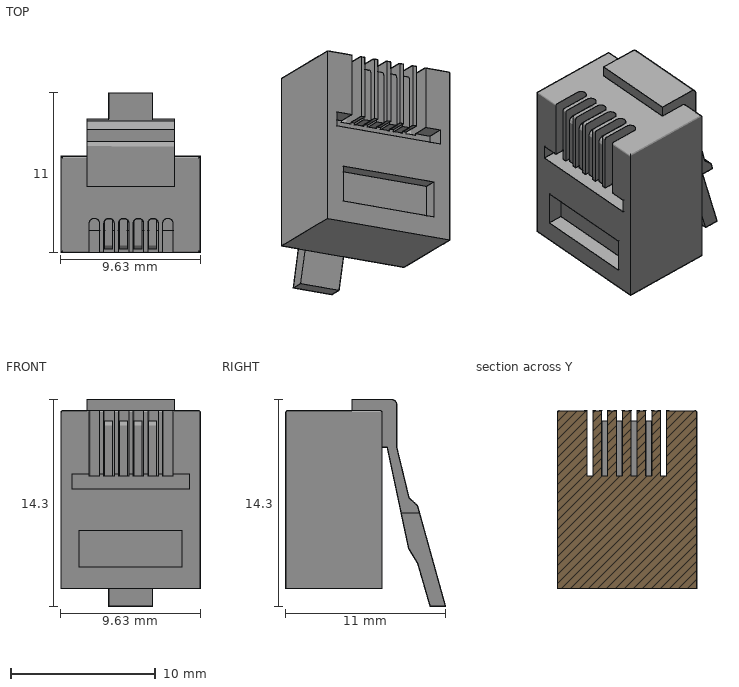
import cadquery as cq


body_width = 9.63
body_depth = 6.66
body_height = 12.29
top_edge_radius = 0.15

slot_count = 6
slot_pitch = 1.01
slot_width = 0.73
slot_length = 2.37
slot_height = 4.5
slot_row_offset = 0.03

blade_count = slot_count - 2
blade_width = 0.56
blade_setback = 0.27
blade_length = 2.05
blade_drop = 0.7
blade_nose_radius = 0.39

groove_width = 8.12
groove_height = 1.01
groove_depth = 1.51
groove_floor = 6.89
pocket_width = 7.1
pocket_height = 2.55
pocket_depth = 1.07
pocket_floor = 1.49

latch_width = 6.06
tail_width = latch_width / 2
latch_front = 4.57
latch_height = 14.29
latch_top = 13.08
latch_bottom = latch_top - latch_height
latch_back = 7.67
latch_corner_radius = 0.4
hinge_height = 9.75
hinge_front = 7.0
tail_start = 5.23

step_top = (8.52, 6.27)
step_bottom = (9.1, 5.73)
taper_top = (8.47, 2.79)
taper_bottom = (9.1, 1.75)
latch_tip = 11.03
tip_front = 9.96

slot_floor = body_height - slot_height


def block(width, depth, height, center_x, front, bottom):
    """Box centred on center_x, starting at Y = front and Z = bottom."""
    return (
        cq.Workplane("XY")
        .box(width, depth, height, centered=(True, False, False))
        .translate((center_x, front, bottom))
    )


def row_positions(count, offset=0):
    """X positions of an evenly spaced row whose middle lies at offset."""
    return [offset + (i - (count - 1) / 2) * slot_pitch for i in range(count)]


def make_body():
    body = block(body_width, body_depth, body_height, 0, 0, 0)
    return body.faces(">Z").edges().fillet(top_edge_radius)


def make_slot(center_x):
    """Slot with a half-round inner end."""
    end_radius = slot_width / 2
    straight_length = slot_length - end_radius
    straight = block(slot_width, straight_length, slot_height, center_x, 0, slot_floor)
    round_end = (
        cq.Workplane("XY")
        .circle(end_radius)
        .extrude(slot_height)
        .translate((center_x, straight_length, slot_floor))
    )
    return straight.union(round_end)


def make_blade(center_x):
    """Blade whose back corners run into the round end of its slot, with a rounded upper front edge."""
    height = slot_height - blade_drop
    blade = block(blade_width, blade_length, height, center_x, blade_setback, slot_floor)
    nose = (center_x, blade_setback, body_height - blade_drop)
    return blade.edges(cq.NearestToPointSelector(nose)).fillet(blade_nose_radius)


def make_latch():
    """Latch of full width down to tail_start and of tail width below it."""
    side_profile = [
        (latch_front, latch_top),
        (latch_back, latch_top),
        (latch_back, hinge_height),
        step_top,
        step_bottom,
        (latch_tip, latch_bottom),
        (tip_front, latch_bottom),
        taper_bottom,
        taper_top,
        (hinge_front, hinge_height),
        (latch_front, hinge_height),
    ]
    latch = (
        cq.Workplane("YZ")
        .polyline(side_profile)
        .close()
        .extrude(latch_width / 2, both=True)
    )
    top_corner = (0, latch_back, latch_top)
    latch = latch.edges(cq.NearestToPointSelector(top_corner)).fillet(latch_corner_radius)

    upper_height = latch_top - tail_start
    tail_height = tail_start - latch_bottom
    upper = block(latch_width, latch_tip, upper_height, 0, 0, tail_start)
    tail = block(tail_width, latch_tip, tail_height, 0, 0, latch_bottom)
    return latch.intersect(upper.union(tail))


result = make_body()
result = result.union(make_latch())
for x in row_positions(slot_count, slot_row_offset):
    result = result.cut(make_slot(x))
result = result.cut(block(groove_width, groove_depth, groove_height, 0, 0, groove_floor))
result = result.cut(block(pocket_width, pocket_depth, pocket_height, 0, 0, pocket_floor))
for x in row_positions(blade_count):
    result = result.union(make_blade(x))